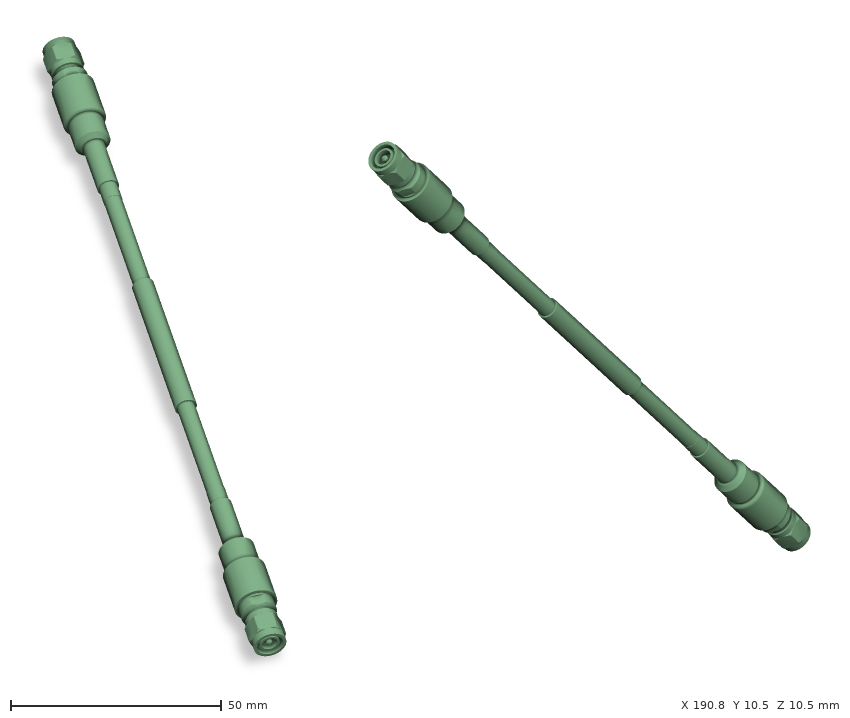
import cadquery as cq
import math


total_length = 190.8
half_length = total_length / 2

collar_radius = 4.0
collar_end = 8.2
hex_across_flats = 2 * collar_radius
hex_start = 2.0
hex_end = 6.7
hex_turned_radius = 4.5
hex_chamfer_rise = hex_turned_radius - collar_radius
hex_chamfer_length = 0.4
neck_radius = 3.5
neck_end = 9.2
body_radius = 4.4
body_taper_end = 10.0
wrench_flat_end = 12.2
wrench_flat_height = 2 * collar_radius
body_end = 12.8
barrel_radius = 5.25
barrel_end = 24.0
barrel_fillet = 0.8
back_nut_end = 31.7
back_nut_front_chamfer = 0.8
back_nut_front_rise = 0.2
back_nut_back_chamfer = 1.1

socket_radius = 3.2
socket_depth = 2.5
contact_start = 0.4
outer_contact_radius = 2.5
outer_contact_bore_radius = 2.0
pin_radius = 0.8
pin_chamfer = 0.4

boot_grip_radius = 2.7
boot_grip_length = 13.0
boot_tip_radius = 2.3
boot_tip_length = 4.4

cable_radius = 2.2
cable_length = total_length - 2 * back_nut_end
marker_radius = 2.7
marker_length = 39.0


def turned(points):
    """Solid of revolution about the X axis below a line of (x, radius) points."""
    start = points[0][0]
    end = points[-1][0]
    profile = cq.Workplane("XZ").polyline([(start, 0), *points, (end, 0)]).close()
    return profile.revolve(360, (0, 0, 0), (1, 0, 0))


def cylinder(radius, start, end):
    return turned([(start, radius), (end, radius)])


def tube(radius, bore_radius, start, end):
    return cylinder(radius, start, end).cut(cylinder(bore_radius, start, end))


def at_end(body, side):
    """Move a body built from X = 0 inwards to the left end (-1) or the right end (+1)."""
    placed = body.translate((-half_length, 0, 0))
    return placed if side < 0 else placed.mirror("YZ")


def hex_grip():
    """Hexagon with corners on the Y axis, cut from a turned and chamfered blank."""
    corner_diameter = hex_across_flats / math.cos(math.pi / 6)
    hexagon = cq.Workplane("YZ", origin=(hex_start, 0, 0)).polygon(6, corner_diameter)
    blank = cylinder(hex_turned_radius, hex_start, hex_end)
    blank = blank.faces("<X or >X").chamfer(hex_chamfer_length, hex_chamfer_rise)
    return hexagon.extrude(hex_end - hex_start).intersect(blank)


def wrench_body():
    """Tapered body behind the neck, with wrench flats facing +Z and -Z."""
    body = turned([(neck_end, neck_radius), (body_taper_end, body_radius), (body_end, body_radius)])
    flat_length = wrench_flat_end - neck_end
    for z_side in (-1, 1):
        waste = (
            cq.Workplane("XY", origin=(neck_end, 0, z_side * wrench_flat_height / 2))
            .rect(2 * flat_length, 2 * body_radius)
            .extrude(z_side * body_radius)
        )
        body = body.cut(waste)
    return body


def barrel():
    plain = cylinder(barrel_radius, body_end, barrel_end)
    return plain.faces(">X").edges().fillet(barrel_fillet)


def back_nut():
    return turned([
        (barrel_end, body_radius - back_nut_front_rise),
        (barrel_end + back_nut_front_chamfer, body_radius),
        (back_nut_end - back_nut_back_chamfer, body_radius),
        (back_nut_end, body_radius - back_nut_back_chamfer),
    ])


def outer_contact():
    """Ring-shaped contact inside the socket."""
    return tube(outer_contact_radius, outer_contact_bore_radius, contact_start, socket_depth)


def center_pin():
    return turned([
        (contact_start, pin_radius - pin_chamfer),
        (contact_start + pin_chamfer, pin_radius),
        (socket_depth, pin_radius),
    ])


def connector(side):
    solid = cylinder(collar_radius, 0, collar_end)
    solid = solid.union(hex_grip())
    solid = solid.union(cylinder(neck_radius, collar_end, neck_end))
    solid = solid.union(wrench_body())
    solid = solid.union(barrel())
    solid = solid.union(back_nut())
    solid = solid.cut(cylinder(socket_radius, 0, socket_depth))
    solid = solid.union(outer_contact()).union(center_pin())
    return at_end(solid, side)


def boot(side):
    """Stepped sleeve around the cable, against the back of the connector."""
    grip_end = back_nut_end + boot_grip_length
    tip_end = grip_end + boot_tip_length
    grip = tube(boot_grip_radius, cable_radius, back_nut_end, grip_end)
    tip = tube(boot_tip_radius, cable_radius, grip_end, tip_end)
    return at_end(grip.union(tip), side)


cable = cylinder(cable_radius, -cable_length / 2, cable_length / 2)
marker = tube(marker_radius, cable_radius, -marker_length / 2, marker_length / 2)

end_bodies = []
for side in (-1, 1):
    end_bodies.append(connector(side).val())
    end_bodies.append(boot(side).val())

result = cq.Compound.makeCompound([cable.val(), marker.val(), *end_bodies])